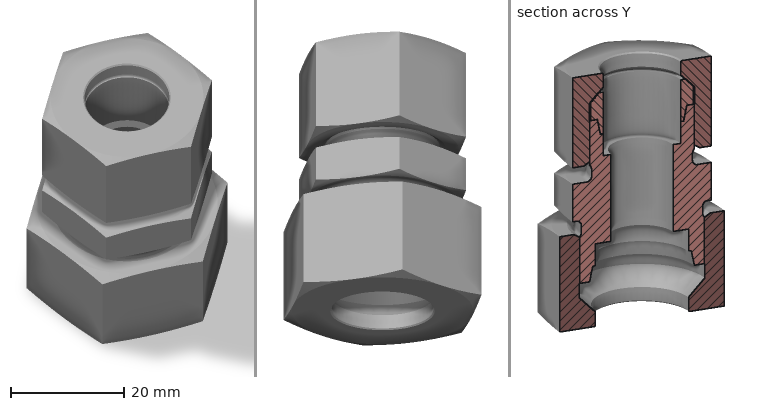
import cadquery as cq
import math


TOTAL_HEIGHT = 47.5
UPPER_NUT_FLATS = 27.05
UPPER_NUT_HEIGHT = 17.0
LOWER_NUT_FLATS = 32.0
LOWER_NUT_HEIGHT = 18.0
BODY_HEX_FLATS = UPPER_NUT_FLATS
BODY_HEX_BOTTOM = 20.35
BODY_HEX_TOP = 27.5
HEX_CHAMFER_ANGLE = 15.0

UPPER_TUBE_DIAMETER = 15.0
UPPER_THREAD_DIAMETER = 20.4
LOWER_TUBE_DIAMETER = 18.0
LOWER_THREAD_DIAMETER = 24.35
PASSAGE_DIAMETER = 12.0

RELIEF_DEPTH = 0.35
RELIEF_FILLET = 0.85
RELIEF_STRAIGHT = 1.4
RELIEF_RUNOUT_ANGLE = 30.0

NUT_BORE_LENGTH = 2.75
NUT_RIM_CHAMFER = 0.25
COUNTERSINK_WIDTH = 1.1
COUNTERSINK_HALF_ANGLE = 60.0
STUB_END_DEPTH = 8.55

SOCKET_DEPTH = 7.0
MOUTH_WALL = 1.15
MOUTH_DEPTH = 2.85
MOUTH_HALF_ANGLE = 12.0

RING_END_WALL = 0.8
RING_COLLAR_DIAMETER = 20.0


def revolve_profile(profile):
    """Turn an (r, z) half-profile drawn in the XZ plane about the Z axis."""
    return profile.close().revolve(360, (0, 0, 0), (0, 1, 0))


def chamfered_hexagon(flats, height):
    """Hexagonal prism from z = 0 with flats facing +-X and coned corners at both ends."""
    flat_radius = flats / 2
    corner_radius = flat_radius / math.cos(math.radians(30))
    corner_drop = (corner_radius - flat_radius) * math.tan(math.radians(HEX_CHAMFER_ANGLE))
    prism = cq.Workplane("XY").polygon(6, 2 * corner_radius).extrude(height)
    prism = prism.rotate((0, 0, 0), (0, 0, 1), 30)
    envelope = revolve_profile(
        cq.Workplane("XZ")
        .moveTo(0, 0)
        .lineTo(flat_radius, 0)
        .lineTo(corner_radius, corner_drop)
        .lineTo(corner_radius, height - corner_drop)
        .lineTo(flat_radius, height)
        .lineTo(0, height)
    )
    return prism.intersect(envelope)


def flip_to_lower_end(shape):
    """Turn a part made for the upper end over, about the X axis."""
    return shape.rotate((0, 0, 0), (1, 0, 0), 180)


def union_nut(flats, height, tube_diameter, thread_diameter):
    """Nut with its threaded end at z = 0 and its tube opening at z = height."""
    bore_radius = tube_diameter / 2
    thread_radius = thread_diameter / 2
    countersink_radius = thread_radius + COUNTERSINK_WIDTH
    countersink_depth = COUNTERSINK_WIDTH / math.tan(math.radians(COUNTERSINK_HALF_ANGLE))
    cone_top = height - NUT_BORE_LENGTH
    cone_bottom = cone_top - (thread_radius - bore_radius)
    cavity = revolve_profile(
        cq.Workplane("XZ")
        .moveTo(0, 0)
        .lineTo(countersink_radius, 0)
        .lineTo(thread_radius, countersink_depth)
        .lineTo(thread_radius, cone_bottom)
        .lineTo(bore_radius, cone_top)
        .lineTo(bore_radius, height - NUT_RIM_CHAMFER)
        .lineTo(bore_radius + NUT_RIM_CHAMFER, height)
        .lineTo(0, height)
    )
    return chamfered_hexagon(flats, height).cut(cavity)


def threaded_stub(length, thread_diameter):
    """Solid stub rising from the hexagon face at z = 0, with a relief groove before the thread."""
    thread_radius = thread_diameter / 2
    neck_radius = thread_radius - RELIEF_DEPTH
    neck_top = RELIEF_FILLET + RELIEF_STRAIGHT
    runout_angle = math.radians(RELIEF_RUNOUT_ANGLE)
    runout_radius = neck_radius + RELIEF_FILLET * (1 - math.cos(runout_angle))
    runout_start = neck_top + RELIEF_FILLET * math.sin(runout_angle)
    runout_end = runout_start + (thread_radius - runout_radius) / math.tan(runout_angle)
    return revolve_profile(
        cq.Workplane("XZ")
        .moveTo(0, 0)
        .lineTo(neck_radius + RELIEF_FILLET, 0)
        .radiusArc((neck_radius, RELIEF_FILLET), RELIEF_FILLET)
        .lineTo(neck_radius, neck_top)
        .radiusArc((runout_radius, runout_start), RELIEF_FILLET)
        .lineTo(thread_radius, runout_end)
        .lineTo(thread_radius, length)
        .lineTo(0, length)
    )


def mouth_radii(tube_diameter):
    """Wide and narrow radius of the tapered socket mouth."""
    wide = tube_diameter / 2 + MOUTH_WALL
    narrow = wide - MOUTH_DEPTH * math.tan(math.radians(MOUTH_HALF_ANGLE))
    return wide, narrow


def tube_socket(stub_length, tube_diameter):
    """Cutter for the tube socket, in the same position as its stub."""
    tube_radius = tube_diameter / 2
    wide, narrow = mouth_radii(tube_diameter)
    mouth_bottom = stub_length - MOUTH_DEPTH
    socket_bottom = stub_length - SOCKET_DEPTH
    return revolve_profile(
        cq.Workplane("XZ")
        .moveTo(0, socket_bottom)
        .lineTo(tube_radius, socket_bottom)
        .lineTo(tube_radius, mouth_bottom)
        .lineTo(narrow, mouth_bottom)
        .lineTo(wide, stub_length)
        .lineTo(0, stub_length)
    )


def hollow_stub(length, thread_diameter, tube_diameter):
    """Threaded stub with its tube socket."""
    return threaded_stub(length, thread_diameter).cut(tube_socket(length, tube_diameter))


def coupling_body():
    """Hexagon with a stub at each end and a through passage."""
    upper_length = TOTAL_HEIGHT - STUB_END_DEPTH - BODY_HEX_TOP
    lower_length = BODY_HEX_BOTTOM - STUB_END_DEPTH
    hexagon = chamfered_hexagon(BODY_HEX_FLATS, BODY_HEX_TOP - BODY_HEX_BOTTOM)
    upper_stub = hollow_stub(upper_length, UPPER_THREAD_DIAMETER, UPPER_TUBE_DIAMETER)
    lower_stub = flip_to_lower_end(
        hollow_stub(lower_length, LOWER_THREAD_DIAMETER, LOWER_TUBE_DIAMETER)
    )
    passage = cq.Workplane("XY").circle(PASSAGE_DIAMETER / 2).extrude(TOTAL_HEIGHT)
    return (
        hexagon.translate((0, 0, BODY_HEX_BOTTOM))
        .union(upper_stub.translate((0, 0, BODY_HEX_TOP)))
        .union(lower_stub.translate((0, 0, BODY_HEX_BOTTOM)))
        .cut(passage)
    )


def cutting_ring(tube_diameter):
    """Ring with its collar on the stub end at z = 0 and its nose in the socket mouth."""
    bore_radius = tube_diameter / 2
    collar_radius = RING_COLLAR_DIAMETER / 2
    wide, narrow = mouth_radii(tube_diameter)
    end_radius = bore_radius + RING_END_WALL
    end_height = STUB_END_DEPTH - NUT_BORE_LENGTH - RING_END_WALL
    collar_top = end_height - (collar_radius - end_radius)
    return revolve_profile(
        cq.Workplane("XZ")
        .moveTo(bore_radius, -MOUTH_DEPTH)
        .lineTo(narrow, -MOUTH_DEPTH)
        .lineTo(wide, 0)
        .lineTo(collar_radius, 0)
        .lineTo(collar_radius, collar_top)
        .lineTo(end_radius, end_height)
        .lineTo(bore_radius, end_height)
    )


body = coupling_body()

upper_nut = union_nut(
    UPPER_NUT_FLATS, UPPER_NUT_HEIGHT, UPPER_TUBE_DIAMETER, UPPER_THREAD_DIAMETER
).translate((0, 0, TOTAL_HEIGHT - UPPER_NUT_HEIGHT))

lower_nut = flip_to_lower_end(
    union_nut(LOWER_NUT_FLATS, LOWER_NUT_HEIGHT, LOWER_TUBE_DIAMETER, LOWER_THREAD_DIAMETER)
).translate((0, 0, LOWER_NUT_HEIGHT))

upper_ring = cutting_ring(UPPER_TUBE_DIAMETER).translate((0, 0, TOTAL_HEIGHT - STUB_END_DEPTH))

result = cq.Compound.makeCompound(
    [part.solids().val() for part in (body, upper_nut, lower_nut, upper_ring)]
)